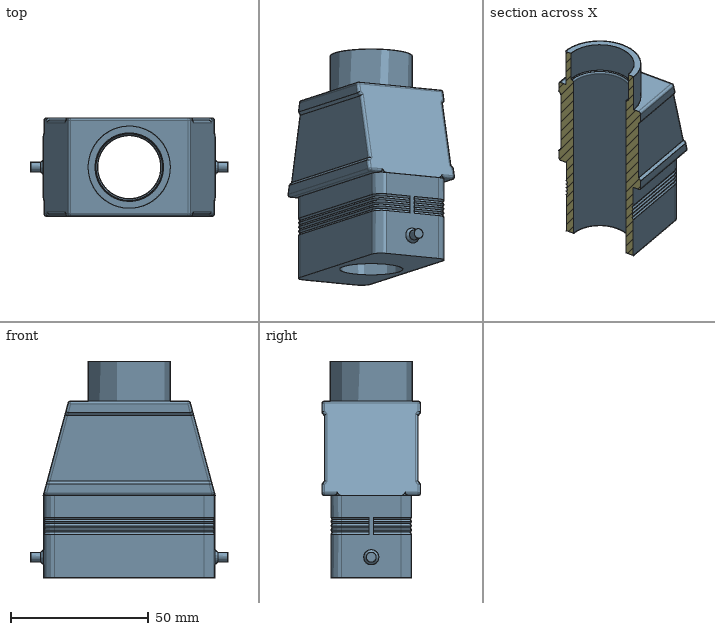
import math

import cadquery as cq

BASE_LENGTH = 62.5
BASE_WIDTH = 29.5
BASE_CORNER_RADIUS = 3.9

HOOD_BOTTOM_Z = 30.0
HOOD_TOP_Z = 64.5
HOOD_BOTTOM_LENGTH = 62.8
HOOD_WIDTH = 36.0
END_SLOPE_DEG = 15.0
HOOD_EDGE_RADIUS = 1.0

RECESS_DEPTH = 0.85
RECESS_EDGE_BEVEL = 1.1
BOTTOM_RIM_HEIGHT = 4.2
TOP_RIM_HEIGHT = 4.2

COLLAR_TOP_Z = 79.0
COLLAR_RADIUS = 15.0
ENTRY_BORE_RADIUS = 12.5
ENTRY_BORE_DEPTH = 11.2
THROUGH_BORE_RADIUS = 11.5
BORE_MOUTH_RADIUS = 0.65

GROOVE_COUNT = 4
GROOVE_PITCH = 1.55
GROOVE_DEPTH = 0.5
GROOVE_BAND_BOTTOM_Z = 15.9
GROOVE_BREAK_WIDTH = 1.8

PIN_SPAN = 72.0
PIN_RADIUS = 1.8
PIN_Z = 7.55
PIN_ROOT_HEIGHT = 1.1
PIN_ROOT_RADIUS = 2.75


def outline_sketch(inset):
    """Round-cornered base outline, offset inward by inset (outward when negative)."""
    return (
        cq.Sketch()
        .rect(BASE_LENGTH - 2 * inset, BASE_WIDTH - 2 * inset)
        .vertices()
        .fillet(BASE_CORNER_RADIUS - inset)
    )


def make_base_block(bottom_z, height):
    """Upright block with the plan shape of the base."""
    return cq.Workplane("XY", origin=(0, 0, bottom_z)).placeSketch(outline_sketch(0)).extrude(height)


def make_groove_band():
    """Material removed by the V-grooves: a plain band less its ridged core."""
    band_height = GROOVE_COUNT * GROOVE_PITCH
    half_pitch = GROOVE_PITCH / 2

    band = make_base_block(GROOVE_BAND_BOTTOM_Z, band_height)
    for index in range(GROOVE_COUNT):
        groove_bottom_z = GROOVE_BAND_BOTTOM_Z + index * GROOVE_PITCH
        valley_z = groove_bottom_z + half_pitch
        lower_core = (
            cq.Workplane("XY", origin=(0, 0, groove_bottom_z))
            .placeSketch(
                outline_sketch(0),
                outline_sketch(GROOVE_DEPTH).moved(cq.Location(cq.Vector(0, 0, half_pitch))),
            )
            .loft(ruled=True)
        )
        upper_core = lower_core.mirror("XY", (0, 0, valley_z))
        band = band.cut(lower_core).cut(upper_core)

    end_break = cq.Workplane("XY", origin=(0, 0, GROOVE_BAND_BOTTOM_Z)).box(
        BASE_LENGTH, GROOVE_BREAK_WIDTH, band_height, centered=(True, True, False)
    )
    return band.cut(end_break)


def make_hood_trapezoid():
    """Prism along Y with the sloping ends of the hood."""
    bottom_x = HOOD_BOTTOM_LENGTH / 2
    top_x = bottom_x - (HOOD_TOP_Z - HOOD_BOTTOM_Z) * math.tan(math.radians(END_SLOPE_DEG))
    return (
        cq.Workplane("XZ")
        .polyline(
            [
                (-bottom_x, HOOD_BOTTOM_Z),
                (bottom_x, HOOD_BOTTOM_Z),
                (top_x, HOOD_TOP_Z),
                (-top_x, HOOD_TOP_Z),
            ]
        )
        .close()
        .extrude(HOOD_WIDTH, both=True)
    )


def make_hood():
    """Cross-section with recessed sides, trimmed by the two sloping ends."""
    rim_y = HOOD_WIDTH / 2
    recess_y = rim_y - RECESS_DEPTH
    lower_rim_z = HOOD_BOTTOM_Z + BOTTOM_RIM_HEIGHT
    upper_rim_z = HOOD_TOP_Z - TOP_RIM_HEIGHT
    side = [
        (rim_y, HOOD_BOTTOM_Z),
        (rim_y, lower_rim_z),
        (recess_y, lower_rim_z + RECESS_EDGE_BEVEL),
        (recess_y, upper_rim_z - RECESS_EDGE_BEVEL),
        (rim_y, upper_rim_z),
        (rim_y, HOOD_TOP_Z),
    ]
    opposite_side = [(-y, z) for y, z in reversed(side)]
    section = (
        cq.Workplane("YZ")
        .polyline(side + opposite_side)
        .close()
        .extrude(HOOD_BOTTOM_LENGTH / 2, both=True)
    )
    hood = section.intersect(make_hood_trapezoid())

    end_outlines = hood.faces("<X or >X").edges()
    long_rim_edges = hood.faces("<Z or >Z").edges("|X")
    return hood.newObject(end_outlines.vals() + long_rim_edges.vals()).fillet(HOOD_EDGE_RADIUS)


def make_neck():
    """Sharp-edged continuation of the base that keeps the hood ends full above the base."""
    overhang = (HOOD_BOTTOM_LENGTH - BASE_LENGTH) / 2
    block = (
        cq.Workplane("XY", origin=(0, 0, HOOD_BOTTOM_Z))
        .placeSketch(outline_sketch(-overhang))
        .extrude(2 * HOOD_EDGE_RADIUS)
    )
    return block.intersect(make_hood_trapezoid())


def make_pin(side):
    """Locking pin with a conical root; side is +1 or -1 along X."""
    wall_x = BASE_LENGTH / 2
    tip_x = PIN_SPAN / 2
    profile = [
        (side * wall_x, 0),
        (side * wall_x, PIN_ROOT_RADIUS),
        (side * (wall_x + PIN_ROOT_HEIGHT), PIN_RADIUS),
        (side * tip_x, PIN_RADIUS),
        (side * tip_x, 0),
    ]
    return (
        cq.Workplane("XZ", origin=(0, 0, PIN_Z))
        .polyline(profile)
        .close()
        .revolve(360, (0, 0), (1, 0))
    )


def make_collar():
    """Round cable collar standing on the hood."""
    return (
        cq.Workplane("XY", origin=(0, 0, HOOD_TOP_Z))
        .circle(COLLAR_RADIUS)
        .extrude(COLLAR_TOP_Z - HOOD_TOP_Z)
    )


def make_bore():
    """Wide entry bore, a 45-degree cone, then the through bore with its rounded mouth."""
    entry_bottom_z = COLLAR_TOP_Z - ENTRY_BORE_DEPTH
    mouth_edge = THROUGH_BORE_RADIUS + BORE_MOUTH_RADIUS
    mouth_z = entry_bottom_z - (ENTRY_BORE_RADIUS - mouth_edge)
    arc_offset = BORE_MOUTH_RADIUS * (1 - math.sqrt(0.5))
    return (
        cq.Workplane("XZ")
        .moveTo(0, 0)
        .lineTo(THROUGH_BORE_RADIUS, 0)
        .lineTo(THROUGH_BORE_RADIUS, mouth_z - BORE_MOUTH_RADIUS)
        .threePointArc(
            (THROUGH_BORE_RADIUS + arc_offset, mouth_z - arc_offset),
            (mouth_edge, mouth_z),
        )
        .lineTo(ENTRY_BORE_RADIUS, entry_bottom_z)
        .lineTo(ENTRY_BORE_RADIUS, COLLAR_TOP_Z)
        .lineTo(0, COLLAR_TOP_Z)
        .close()
        .revolve(360, (0, 0), (0, 1))
    )


housing = make_base_block(0, HOOD_BOTTOM_Z).cut(make_groove_band())
housing = housing.union(make_hood()).union(make_neck()).union(make_collar())
for pin_side in (-1, 1):
    housing = housing.union(make_pin(pin_side))
result = housing.cut(make_bore())